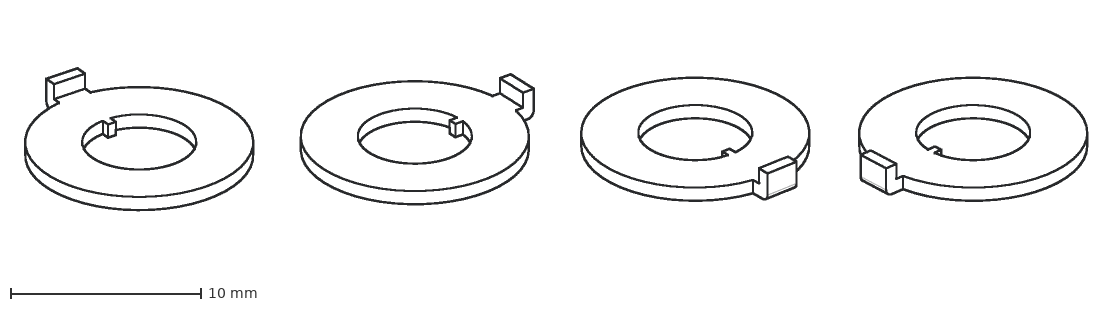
import cadquery as cq

outer_diameter = 12.0
bore_diameter = 6.0
ring_thickness = 0.8

tab_reach = 7.11
tab_width = 2.0
tab_height = 1.7
tab_wall = 0.72
bend_radius = 0.4

key_reach = 2.5
key_width = 0.5

wall_middle = (outer_diameter + bore_diameter) / 4


def make_ring():
    return (
        cq.Workplane("XY")
        .circle(outer_diameter / 2)
        .circle(bore_diameter / 2)
        .extrude(ring_thickness)
    )


def make_tab():
    """L-shaped tab: a flat foot in the ring plane and an upright lip."""
    foot = cq.Workplane("XY").box(
        tab_reach - wall_middle, tab_width, ring_thickness, centered=(False, True, False)
    )
    lip = cq.Workplane("XY").box(tab_wall, tab_width, tab_height, centered=(False, True, False))
    tab = foot.union(lip).faces("<X").edges("<Z").fillet(bend_radius)
    return tab.translate((-tab_reach, 0, 0))


def make_key():
    return (
        cq.Workplane("XY")
        .box(wall_middle - key_reach, key_width, ring_thickness, centered=(False, True, False))
        .translate((-wall_middle, 0, 0))
    )


result = make_ring().union(make_tab()).union(make_key())